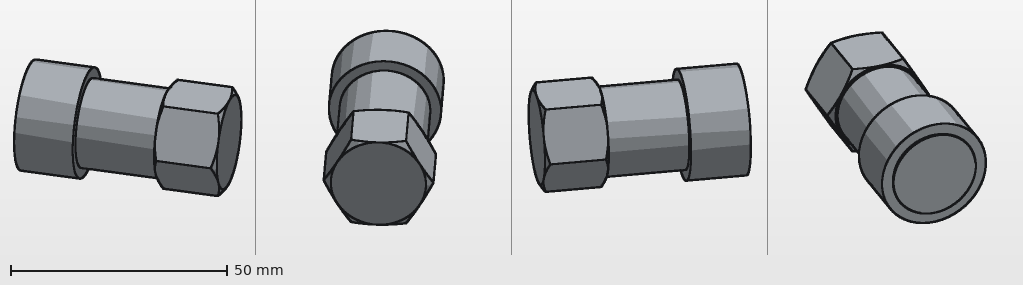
import cadquery as cq
import math

total_length = 48.4
face_thickness = 0.45
collar_end = 14.45
hex_start = 33.4
hex_length = total_length - hex_start

face_diameter = 20.55
collar_diameter = 26.0
neck_diameter = 21.0
across_flats = 22.0
across_corners = across_flats / math.cos(math.radians(30))
chamfer_angle = 30.0


def cylinder_along_x(diameter, start, end):
    """Solid cylinder on the X axis between two stations."""
    plane = cq.Workplane("YZ", origin=(start, 0, 0))
    return plane.circle(diameter / 2).extrude(end - start)


def chamfered_hexagon():
    """Hexagon with corners on +Y and -Y, its corners turned conically at both ends."""
    prism = (
        cq.Workplane("YZ", origin=(hex_start, 0, 0))
        .polygon(6, across_corners)
        .extrude(hex_length)
    )
    flat_radius = across_flats / 2
    corner_radius = across_corners / 2
    chamfer_length = (corner_radius - flat_radius) * math.tan(math.radians(chamfer_angle))
    turned_envelope = (
        cq.Workplane("XY")
        .moveTo(hex_start, 0)
        .lineTo(hex_start, flat_radius)
        .lineTo(hex_start + chamfer_length, corner_radius)
        .lineTo(total_length - chamfer_length, corner_radius)
        .lineTo(total_length, flat_radius)
        .lineTo(total_length, 0)
        .close()
        .revolve(360, (0, 0, 0), (1, 0, 0))
    )
    return prism.intersect(turned_envelope)


face = cylinder_along_x(face_diameter, 0, face_thickness)
collar = cylinder_along_x(collar_diameter, face_thickness, collar_end)
neck = cylinder_along_x(neck_diameter, collar_end, hex_start)

result = face.union(collar).union(neck).union(chamfered_hexagon())